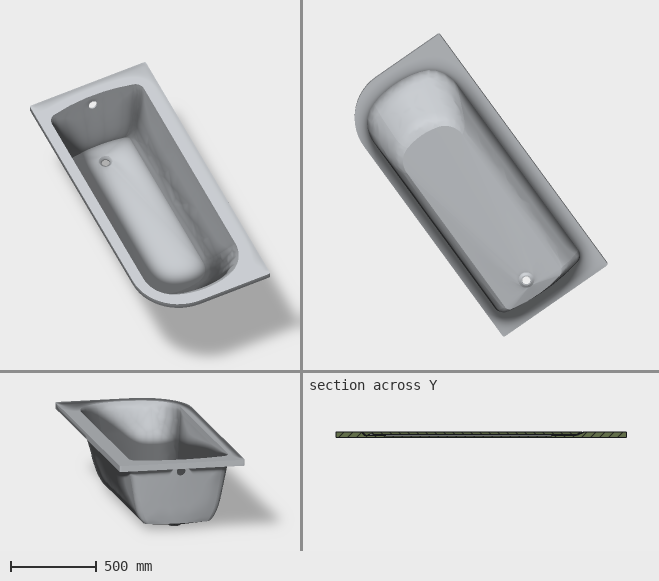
import cadquery as cq
import math


RIM_LENGTH = 1700.0
RIM_FRONT_Y = -360.0
RIM_BACK_Y = 390.0
RIM_THICKNESS = 35.0
RIM_CORNER_RADIUS = 10.0
RIM_ROUND_RADIUS = 294.0

WALL = 7.0
OVERALL_HEIGHT = 435.0
FOOT_CORNER_RATIO = 0.65
HEAD_CORNER_RATIO = 0.92

BOWL_SECTIONS = [
    (0.0, 82.0, 172.0, 1416.0, 1642.0, 305.0),
    (-110.0, 104.0, 178.0, 1357.0, 1569.0, 285.0),
    (-221.0, 125.0, 190.0, 1297.0, 1498.0, 265.0),
    (-323.0, 146.0, 204.0, 1241.0, 1431.0, 243.0),
    (-374.0, 156.0, 210.0, 1214.0, 1389.0, 221.0),
    (-400.0, 162.0, 212.0, 1200.0, 1335.0, 199.0),
]

DRAIN_X = 277.0
DRAIN_HOLE_DIAMETER = 48.0
DRAIN_RECESS_DIAMETER = 78.0
DRAIN_BOSS_DIAMETER = 61.0
DRAIN_BOSS_TOP_DIAMETER = DRAIN_RECESS_DIAMETER + 2 * WALL
DRAIN_BOSS_HEIGHT = 12.0
OVERFLOW_Z = -73.0
OVERFLOW_DIAMETER = 53.0
OVERFLOW_REACH = 204.0


def curved_end(side_x, end_x, half_width, corner_ratio):
    """Points of one end: corner middle, corner end and tip, for Y > 0.

    The corner arc leaves the straight side tangentially and runs tangentially
    into a flatter arc across the end.
    """
    depth = abs(end_x - side_x)
    direction = math.copysign(1, end_x - side_x)
    corner = corner_ratio * depth
    corner_y = half_width - corner
    end_radius = (depth**2 + corner_y**2 - corner**2) / (2 * (depth - corner))
    sweep = math.acos(corner_y / (end_radius - corner))

    def on_corner(angle):
        x = side_x + direction * corner * math.sin(angle)
        return x, corner_y + corner * math.cos(angle)

    return on_corner(sweep / 2), on_corner(sweep), (end_x, 0)


def mirrored(point):
    return point[0], -point[1]


def bowl_outline(z, foot_x, foot_side_x, head_side_x, head_x, half_width):
    """Closed wire of one horizontal section of the bowl."""
    foot_mid, foot_corner, foot_tip = curved_end(foot_side_x, foot_x, half_width, FOOT_CORNER_RATIO)
    head_mid, head_corner, head_tip = curved_end(head_side_x, head_x, half_width, HEAD_CORNER_RATIO)
    outline = (
        cq.Workplane("XY", origin=(0, 0, z))
        .moveTo(foot_side_x, half_width)
        .lineTo(head_side_x, half_width)
        .threePointArc(head_mid, head_corner)
        .threePointArc(head_tip, mirrored(head_corner))
        .threePointArc(mirrored(head_mid), (head_side_x, -half_width))
        .lineTo(foot_side_x, -half_width)
        .threePointArc(mirrored(foot_mid), mirrored(foot_corner))
        .threePointArc(foot_tip, foot_corner)
        .threePointArc(foot_mid, (foot_side_x, half_width))
        .close()
    )
    return outline.val()


def bowl_form(inset):
    """Solid filling the bowl, moved inward from its outer surface by inset."""
    outlines = []
    for z, foot_x, foot_side_x, head_side_x, head_x, half_width in BOWL_SECTIONS:
        level = z * (1 + inset / BOWL_SECTIONS[-1][0])
        outlines.append(
            bowl_outline(level, foot_x + inset, foot_side_x, head_side_x, head_x - inset, half_width - inset)
        )
    sides = cq.Solid.makeLoft(outlines)

    drain_edge = cq.Wire.makeCircle(
        DRAIN_BOSS_TOP_DIAMETER / 2 - inset,
        cq.Vector(DRAIN_X, 0, DRAIN_BOSS_HEIGHT - OVERALL_HEIGHT + inset),
        cq.Vector(0, 0, 1),
    )
    floor = cq.Solid.makeLoft([outlines[-1], drain_edge], True)
    return cq.Workplane(sides).union(cq.Workplane(floor))


def drain_cone(lower_radius, upper_radius, bottom_z):
    cone = cq.Solid.makeCone(lower_radius, upper_radius, DRAIN_BOSS_HEIGHT, cq.Vector(DRAIN_X, 0, bottom_z))
    return cq.Workplane(cone)


def make_bowl():
    lower_radius = DRAIN_BOSS_DIAMETER / 2
    upper_radius = DRAIN_BOSS_TOP_DIAMETER / 2
    boss = drain_cone(lower_radius, upper_radius, -OVERALL_HEIGHT)
    recess = drain_cone(lower_radius - WALL, upper_radius - WALL, WALL - OVERALL_HEIGHT)
    drain_hole = (
        cq.Workplane("XY", origin=(DRAIN_X, 0, -OVERALL_HEIGHT))
        .circle(DRAIN_HOLE_DIAMETER / 2)
        .extrude(OVERALL_HEIGHT)
    )
    overflow = (
        cq.Workplane("YZ", origin=(0, 0, OVERFLOW_Z))
        .circle(OVERFLOW_DIAMETER / 2)
        .extrude(OVERFLOW_REACH)
    )
    shell = bowl_form(0).union(boss).cut(bowl_form(WALL))
    return shell.cut(recess).cut(drain_hole).cut(overflow)


def make_rim():
    plate = (
        cq.Workplane("XY", origin=(0, 0, -RIM_THICKNESS))
        .moveTo(0, RIM_FRONT_Y)
        .lineTo(RIM_LENGTH, RIM_FRONT_Y)
        .lineTo(RIM_LENGTH, RIM_BACK_Y)
        .lineTo(0, RIM_BACK_Y)
        .close()
        .extrude(RIM_THICKNESS)
    )
    plate = plate.edges("|Z").edges(">X and <Y").fillet(RIM_ROUND_RADIUS)
    plate = plate.edges("|Z").edges("<X or >Y").fillet(RIM_CORNER_RADIUS)
    return plate.cut(bowl_form(0))


rim = make_rim()
bowl = make_bowl()
result = cq.Compound.makeCompound([rim.solids().val(), bowl.solids().val()])